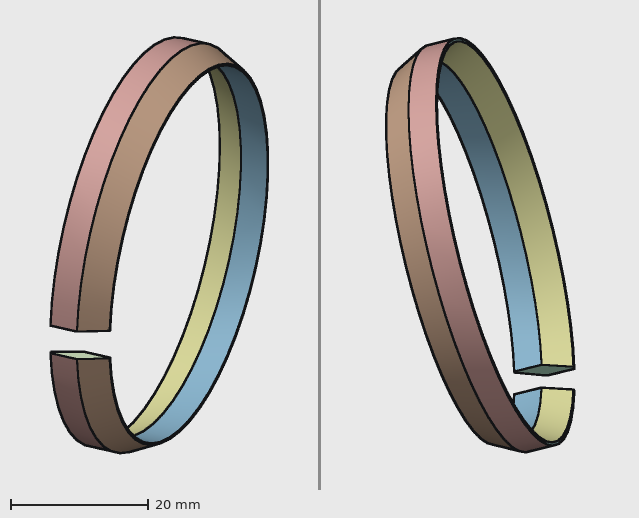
import cadquery as cq

outer_radius = 30.5
rim_wall = 0.5
lip_wall = 0.25
total_width = 8.5
band_width = total_width / 2
bore_radius = 28.1
bore_taper_width = total_width - band_width
gap_height = 4.65


def ring_body():
    """Revolve the wall section about X, starting on the -Y side inside the gap."""
    section = (
        cq.Workplane("XY")
        .moveTo(0, -(outer_radius - rim_wall))
        .lineTo(0, -outer_radius)
        .lineTo(band_width, -outer_radius)
        .lineTo(total_width, -(bore_radius + lip_wall))
        .lineTo(total_width, -bore_radius)
        .lineTo(bore_taper_width, -bore_radius)
        .close()
    )
    return section.revolve(360, (0, 0, 0), (1, 0, 0))


def gap_cutter():
    """Parallel-sided slot through the wall on the -Y side."""
    block = cq.Workplane("XY").box(
        total_width, outer_radius, gap_height, centered=(False, False, True)
    )
    return block.translate((0, -outer_radius, 0))


result = ring_body().cut(gap_cutter())